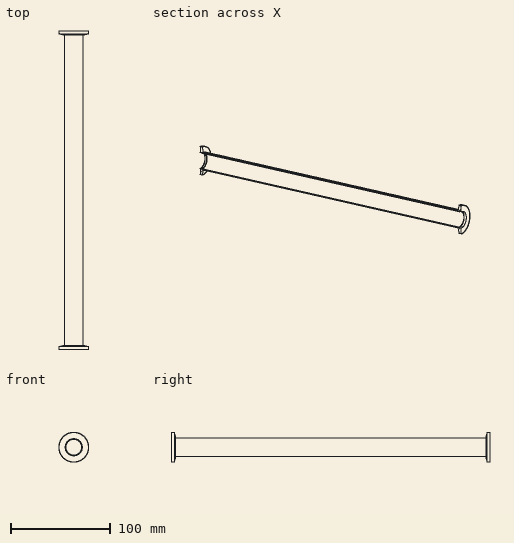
import cadquery as cq
import math

length = 320.0
flange_radius = 15.0
tube_radius = 9.525
bore_radius = 8.0
recess_radius = 8.6
recess_depth = 2.6
rim_thickness = 3.0
clamp_angle = 14.0

full_turn = 360.0
half_length = length / 2
cone_height = (flange_radius - tube_radius) * math.tan(math.radians(clamp_angle))
rim_back = half_length - rim_thickness
cone_end = rim_back - cone_height
recess_floor = half_length - recess_depth


def make_pipe():
    """Revolve the full wall section: tube, two conical flanges and two seal recesses."""
    end_profile = [
        (cone_end, tube_radius),
        (rim_back, flange_radius),
        (half_length, flange_radius),
        (half_length, recess_radius),
        (recess_floor, recess_radius),
        (recess_floor, bore_radius),
    ]
    opposite_end = [(-axial, radius) for axial, radius in reversed(end_profile)]
    section = cq.Workplane("YZ").polyline(end_profile + opposite_end).close()
    return section.revolve(full_turn, (0, 0, 0), (1, 0, 0))


result = make_pipe()